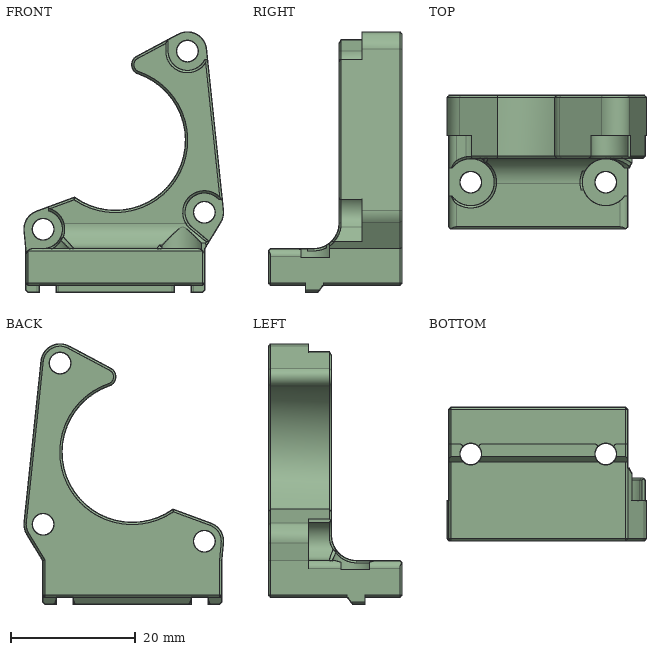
import cadquery as cq
import math


overall_height = 41.85
overall_depth = 21.5
base_width = 28.78
plate_thickness = 10.15
rail_height = 1.15
rim_chamfer = 0.38

bore_radius = 11.25
boss_spacing = 26.0
boss_tilt = math.radians(6)
boss_radius = 3.1
screw_radius = 1.7
boss_thickness = 6.5
left_clearance_reach = 0.85
upper_clearance_drop = 1.35
right_clearance_rise = 2.1
slot_direction = math.radians(-40)

tip_radius = 1.55
tip_angle = math.radians(71)
mouth_angle = math.radians(234.4)

corner_fillet = 4.0
side_round = 1.25
base_screw_inset = 3.55
base_screw_depth = 13.97
seat_radius = 3.75
seat_depth = 1.42
seat_opening = 4.5
right_seat_easing = 1.05

rail_top_back = 12.67
rail_bottom_back = 13.55
rail_front = 15.55
rail_gap = 2.68
rail_corner_radius = 0.38

half_base = base_width / 2
base_screw_x = half_base - base_screw_inset
base_screws = (-base_screw_x, base_screw_x)
half_spacing = boss_spacing / 2
corner_radius = half_spacing * math.sqrt(2)
boss_rise = corner_radius * math.cos(math.pi / 4 - boss_tilt)
bore_height = overall_height - rail_height - boss_radius - boss_rise
base_height = bore_height - boss_rise - boss_radius
bore_center = (0, bore_height)


def polar(center, radius, angle):
    return (center[0] + radius * math.cos(angle), center[1] + radius * math.sin(angle))


def midpoint(start, end):
    return ((start[0] + end[0]) / 2, (start[1] + end[1]) / 2)


def edge_nearest(body, point):
    vertex = cq.Vertex.makeVertex(*point)
    return min(body.edges().vals(), key=vertex.distance)


def tangent_angle(start, start_radius, end, end_radius):
    """Direction from both centres to the tangent line lying left of the path from start to end."""
    distance = math.dist(start, end)
    heading = math.atan2(end[1] - start[1], end[0] - start[0])
    return heading + math.acos((start_radius - end_radius) / distance)


def block(x0, x1, y0, y1, z0, z1):
    return cq.Workplane("XY").box(x1 - x0, y1 - y0, z1 - z0, centered=False).translate((x0, y0, z0))


def cylinder_along_y(center, radius, depth):
    return cq.Workplane("XZ").center(*center).circle(radius).extrude(depth)


upper_boss = polar(bore_center, corner_radius, boss_tilt + math.radians(45))
left_boss = polar(bore_center, corner_radius, boss_tilt + math.radians(225))
right_boss = polar(bore_center, corner_radius, boss_tilt + math.radians(315))
tip_center = polar(bore_center, bore_radius + tip_radius, tip_angle)
mouth = polar(bore_center, bore_radius, mouth_angle)
base_left = (-half_base, base_height)
base_right = (half_base, base_height)
left_slope_angle = tangent_angle(left_boss, boss_radius, mouth, 0)


def arc_around(sketch, center, radius, start, end):
    """Arc about center from angle start, where the outline already is, to angle end."""
    middle = polar(center, radius, (start + end) / 2)
    return sketch.threePointArc(middle, polar(center, radius, end))


def outline():
    """Front outline, followed clockwise from the lower left corner of the base."""
    left_start = tangent_angle(base_left, 0, left_boss, boss_radius)
    tip_end = tangent_angle(tip_center, tip_radius, upper_boss, boss_radius)
    upper_end = tangent_angle(upper_boss, boss_radius, right_boss, boss_radius)
    right_end = tangent_angle(right_boss, boss_radius, base_right, 0)

    sketch = cq.Workplane("XZ").moveTo(-half_base, 0).lineTo(*base_left)
    sketch = sketch.lineTo(*polar(left_boss, boss_radius, left_start))
    sketch = arc_around(sketch, left_boss, boss_radius, left_start, left_slope_angle).lineTo(*mouth)
    sketch = arc_around(sketch, bore_center, bore_radius, mouth_angle - 2 * math.pi, tip_angle)
    sketch = arc_around(sketch, tip_center, tip_radius, tip_angle + math.pi, tip_end)
    sketch = sketch.lineTo(*polar(upper_boss, boss_radius, tip_end))
    sketch = arc_around(sketch, upper_boss, boss_radius, tip_end, upper_end)
    sketch = sketch.lineTo(*polar(right_boss, boss_radius, upper_end))
    sketch = arc_around(sketch, right_boss, boss_radius, upper_end, right_end)
    return sketch.lineTo(*base_right).lineTo(half_base, 0).close()


def make_bracket():
    """L-shaped side profile filling the front outline, with its outer rims chamfered."""
    side = (
        cq.Workplane("YZ")
        .polyline([
            (0, 0), (-overall_depth, 0), (-overall_depth, base_height),
            (-plate_thickness, base_height), (-plate_thickness, overall_height), (0, overall_height),
        ])
        .close()
        .extrude(base_width, both=True)
        .edges(cq.selectors.NearestToPointSelector((0, -plate_thickness, base_height)))
        .fillet(corner_fillet)
    )
    body = outline().extrude(overall_depth).intersect(side)
    body = body.faces(">Y or <Y or <Z").edges().chamfer(rim_chamfer)
    bore_rim = edge_nearest(body, (bore_radius, -plate_thickness, bore_height))
    slope_middle = polar(midpoint(left_boss, mouth), boss_radius / 2, left_slope_angle)
    slope_rim = edge_nearest(body, (slope_middle[0], -plate_thickness, slope_middle[1]))
    return body.newObject([bore_rim, slope_rim]).chamfer(rim_chamfer)


def slot_recess(center, direction):
    """Round-ended recess over a boss, open toward the given direction."""
    length = 3 * boss_radius
    middle = polar(center, length / 2, direction)
    slot = cq.Workplane("XZ").center(*middle).transformed(rotate=(0, 0, math.degrees(direction)))
    slot = slot.slot2D(length + 2 * boss_radius, 2 * boss_radius).extrude(overall_depth)
    return slot.translate((0, -boss_thickness, 0))


def recess_clearance(x0, x1, z0, z1):
    """Waste between a boss recess and the outline, level with the recess floor."""
    return block(x0, x1, -overall_depth, -boss_thickness, z0, z1)


def side_rounding(side, back):
    """Waste outside the rounded top edge of one base side, from the front as far back as given."""
    center_x = side * (half_base - side_round)
    center_z = base_height - side_round
    x0, x1 = sorted((center_x, side * half_base))
    corner = block(x0, x1, -overall_depth, -back, center_z, base_height)
    return corner.cut(cylinder_along_y((center_x, center_z), side_round, overall_depth))


def base_cylinder(screw_x, radius, bottom):
    """Upright cylinder on a base screw axis, open at the top."""
    cylinder = cq.Workplane("XY").workplane(offset=bottom).center(screw_x, -base_screw_depth)
    return cylinder.circle(radius).extrude(overall_height)


def screw_seat(screw_x):
    """Round seat, opened straight out through the nearer side of the base."""
    x0, x1 = sorted((screw_x, math.copysign(base_width, screw_x)))
    seat_floor = base_height - seat_depth
    opening = block(
        x0, x1,
        -base_screw_depth - seat_opening / 2, -base_screw_depth + seat_opening / 2,
        seat_floor, overall_height,
    )
    return base_cylinder(screw_x, seat_radius, seat_floor).union(opening)


def ease_right_seat(body):
    """Chamfer the inner stretch of the right seat rim, around its start on the corner fillet."""
    fillet_front = -plate_thickness - corner_fillet
    stretch = block(
        0, base_screw_x,
        fillet_front - right_seat_easing, fillet_front + corner_fillet / 2,
        base_height - seat_depth, bore_height,
    )
    piece = body.intersect(stretch)
    rim_point = (base_screw_x - seat_radius, -base_screw_depth, base_height)
    piece = piece.newObject([edge_nearest(piece, rim_point)]).chamfer(rim_chamfer)
    return body.cut(stretch).union(piece)


def break_recess_rims(body):
    """Chamfer the boss recess rims and the left seat rim."""
    points_on_rims = [
        polar(upper_boss, boss_radius, math.radians(-90)),
        polar(right_boss, boss_radius, math.radians(135)),
        polar(left_boss, boss_radius, math.radians(45)),
        polar(left_boss, boss_radius, math.radians(-45)),
    ]
    rims = [edge_nearest(body, (x, -plate_thickness, z)) for x, z in points_on_rims]
    rims.append(edge_nearest(body, (-base_screw_x, -base_screw_depth - seat_radius, base_height)))
    return body.newObject(rims).chamfer(rim_chamfer)


def make_rail():
    """Locating rail with one sloped flank, ending flush with the base and interrupted at the screws."""
    profile = [
        (-rail_top_back, 0), (-rail_bottom_back, -rail_height), (-rail_front, -rail_height),
        (-rail_front, rim_chamfer), (-rail_top_back, rim_chamfer),
    ]
    rail = cq.Workplane("YZ").polyline(profile).close().extrude(half_base, both=True)
    rail = rail.faces("<Z").edges("<X or >X").chamfer(rim_chamfer)
    for screw_x in base_screws:
        edges = (screw_x - rail_gap / 2, screw_x + rail_gap / 2)
        rail = rail.cut(block(*edges, -overall_depth, 0, -rail_height, 0))
        for x in edges:
            corner = cq.selectors.NearestToPointSelector((x, -rail_front, -rail_height / 2))
            rail = rail.edges(corner).fillet(rail_corner_radius)
    return rail


result = make_bracket()
for screw_x in base_screws:
    result = result.cut(screw_seat(screw_x))
result = ease_right_seat(result)

result = result.cut(slot_recess(upper_boss, math.pi / 2))
result = result.cut(slot_recess(left_boss, math.pi))
result = result.cut(slot_recess(right_boss, slot_direction))
result = result.cut(recess_clearance(
    upper_boss[0], base_width, upper_boss[1] - upper_clearance_drop, overall_height
))
result = result.cut(recess_clearance(
    -base_width, left_boss[0] + left_clearance_reach, left_boss[1], bore_height
))
result = result.cut(recess_clearance(
    right_boss[0], base_width, right_boss[1], right_boss[1] + right_clearance_rise
))
result = break_recess_rims(result)

result = result.cut(side_rounding(-1, boss_thickness))
result = result.cut(side_rounding(1, base_screw_depth))
result = result.union(make_rail())

for screw_x in base_screws:
    result = result.cut(base_cylinder(screw_x, screw_radius, -rail_height))
for boss in (upper_boss, left_boss, right_boss):
    result = result.cut(cylinder_along_y(boss, screw_radius, overall_depth))